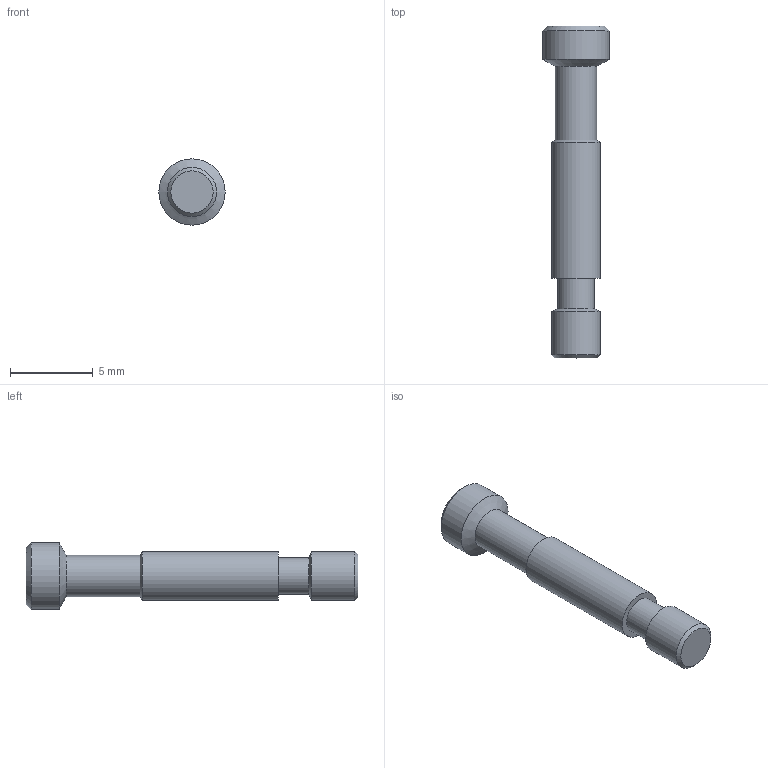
import cadquery as cq
import math

length = 20.0
tip_y = -length / 2
head_y = length / 2

head_diameter = 4.0
neck_diameter = 2.5
shank_diameter = 2.95
groove_diameter = 2.2

head_height = 2.0
shank_start = 7.0

groove_shoulder = 4.8
groove_start = 2.8

head_chamfer = 0.3
tip_chamfer = 0.2

neck_cone_angle = 30.0
groove_cone_angle = 25.0

head_radius = head_diameter / 2
neck_radius = neck_diameter / 2
shank_radius = shank_diameter / 2
groove_radius = groove_diameter / 2


def cone_length(large_radius, small_radius, angle):
    """Axial length of a cone between two radii at the given slope."""
    return (large_radius - small_radius) * math.tan(math.radians(angle))


def half_profile():
    """Half section of the pin in the XY plane, from the tip to the head."""
    head_underside_y = head_y - head_height
    shank_y = head_y - shank_start
    neck_top_y = head_underside_y - cone_length(head_radius, neck_radius, neck_cone_angle)
    neck_bottom_y = shank_y + cone_length(shank_radius, neck_radius, neck_cone_angle)
    groove_shoulder_y = tip_y + groove_shoulder
    groove_start_y = tip_y + groove_start
    groove_floor_y = groove_start_y + cone_length(shank_radius, groove_radius, groove_cone_angle)
    return [
        (0, tip_y),
        (shank_radius - tip_chamfer, tip_y),
        (shank_radius, tip_y + tip_chamfer),
        (shank_radius, groove_start_y),
        (groove_radius, groove_floor_y),
        (groove_radius, groove_shoulder_y),
        (shank_radius, groove_shoulder_y),
        (shank_radius, shank_y),
        (neck_radius, neck_bottom_y),
        (neck_radius, neck_top_y),
        (head_radius, head_underside_y),
        (head_radius, head_y - head_chamfer),
        (head_radius - head_chamfer, head_y),
        (0, head_y),
    ]


result = cq.Workplane("XY").polyline(half_profile()).close().revolve(360, (0, 0, 0), (0, 1, 0))